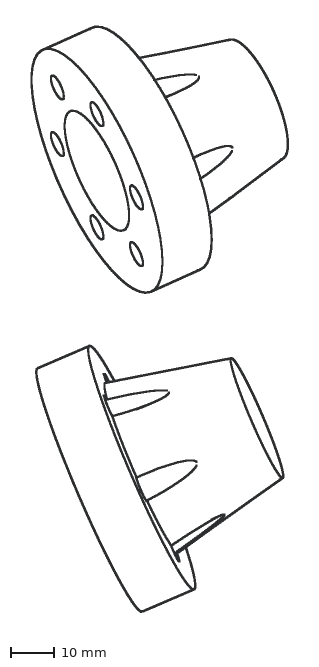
import cadquery as cq

flange_diameter = 61.0
flange_thickness = 13.05
total_length = 42.0
bore_diameter = 30.0
hub_base_diameter = 42.5
bolt_hole_diameter = 6.0
bolt_hole_count = 6

flange_radius = flange_diameter / 2
bore_radius = bore_diameter / 2
hub_base_radius = hub_base_diameter / 2
bolt_circle_radius = hub_base_radius


def make_body():
    """Flange and conical hub around the bore; the cone thins to an edge at its tip."""
    section = (
        cq.Workplane("XY")
        .moveTo(bore_radius, 0)
        .lineTo(flange_radius, 0)
        .lineTo(flange_radius, flange_thickness)
        .lineTo(hub_base_radius, flange_thickness)
        .lineTo(bore_radius, total_length)
        .close()
    )
    return section.revolve(360, (0, 0, 0), (0, 1, 0))


def make_bolt_holes():
    """Straight drills along Y, the first one directly above the axis."""
    return (
        cq.Workplane("XZ")
        .polarArray(bolt_circle_radius, 90, 360, bolt_hole_count)
        .circle(bolt_hole_diameter / 2)
        .extrude(-total_length)
    )


result = make_body().cut(make_bolt_holes())